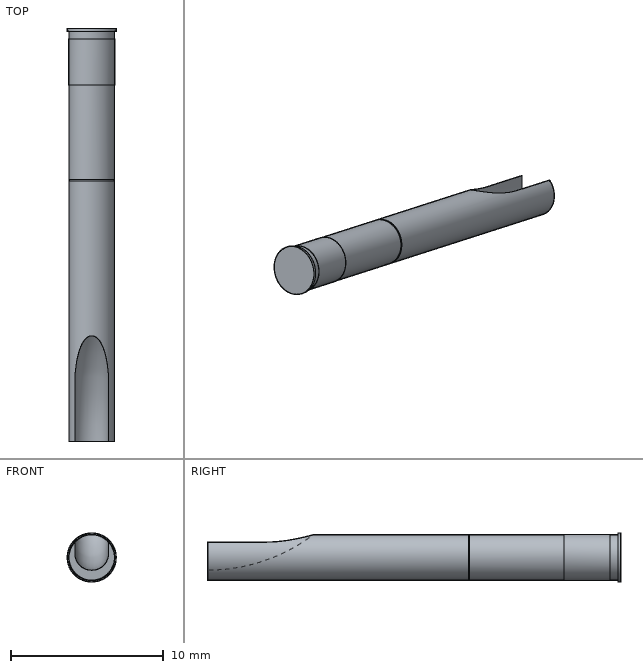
import cadquery as cq

length = 27.0
shaft_diameter = 3.0
rear_y = length / 2
front_y = -length / 2

rim_diameter = 3.2
rim_thickness = 0.2

band_diameter = 3.02
band_start = 0.7
band_end = 3.7

groove_start = 9.88
groove_width = 0.08
groove_diameter = 2.97

trough_width = 2.21
trough_length = 6.9
trough_floor_z = -0.85


def make_disc(diameter, start, end):
    """Round section between two distances from the rear end."""
    return cq.Workplane("XZ", origin=(0, rear_y - start, 0)).circle(diameter / 2).extrude(end - start)


def make_pin():
    """Round pin with a rear rim, a press-fit band and a marking groove."""
    pin = make_disc(shaft_diameter, 0, length)
    pin = pin.union(make_disc(rim_diameter, 0, rim_thickness))
    pin = pin.union(make_disc(band_diameter, band_start, band_end))
    groove_end = groove_start + groove_width
    groove_core = make_disc(groove_diameter, groove_start, groove_end)
    groove_ring = make_disc(rim_diameter, groove_start, groove_end).cut(groove_core)
    return pin.cut(groove_ring)


def make_trough_cutter():
    """U-shaped section turned about a cross axis above the front end."""
    half_width = trough_width / 2
    trough_depth = shaft_diameter / 2 - trough_floor_z
    sweep_radius = (trough_length**2 + trough_depth**2) / (2 * trough_depth)
    sweep_axis_z = trough_floor_z + sweep_radius
    top_z = shaft_diameter
    section = (
        cq.Workplane("XZ", origin=(0, front_y, 0))
        .moveTo(-half_width, top_z)
        .lineTo(-half_width, trough_floor_z + half_width)
        .threePointArc((0, trough_floor_z), (half_width, trough_floor_z + half_width))
        .lineTo(half_width, top_z)
        .close()
    )
    return section.revolve(360, (0, sweep_axis_z), (1, sweep_axis_z))


result = make_pin().cut(make_trough_cutter())